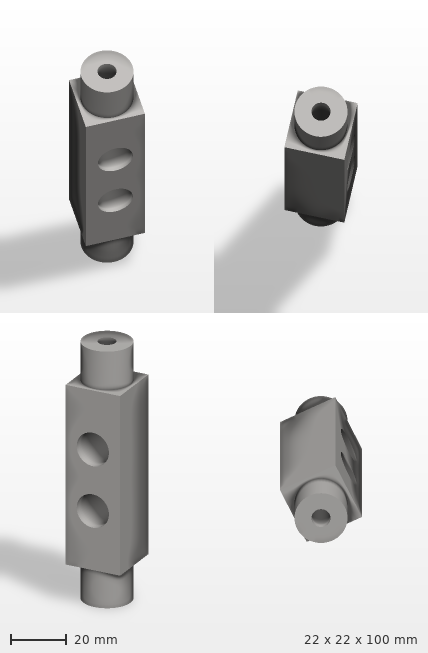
import cadquery as cq
import math

total_length = 100.0
body_width = 22.0
spigot_diameter = 19.0
spigot_length = 15.0

cross_hole_diameter = 13.0
cross_hole_spacing = 24.0

end_hole_diameter = 6.8
end_hole_depth = 20.0
drill_point_angle = 118.0

body_length = total_length - 2 * spigot_length
mid_height = total_length / 2


def drilled_hole():
    """Cutter for the top end hole: a cylinder with a conical drill point."""
    radius = end_hole_diameter / 2
    point_height = radius / math.tan(math.radians(drill_point_angle / 2))
    shoulder = mid_height - end_hole_depth
    return (
        cq.Workplane("XZ")
        .moveTo(0, mid_height)
        .lineTo(radius, mid_height)
        .lineTo(radius, shoulder)
        .lineTo(0, shoulder - point_height)
        .close()
        .revolve(360, (0, 0, 0), (0, 1, 0))
    )


body = cq.Workplane("XY").box(body_width, body_width, body_length)
spigots = cq.Workplane("XY").circle(spigot_diameter / 2).extrude(mid_height, both=True)

cross_holes = (
    cq.Workplane("YZ")
    .pushPoints([(0, -cross_hole_spacing / 2), (0, cross_hole_spacing / 2)])
    .circle(cross_hole_diameter / 2)
    .extrude(body_width, both=True)
)

top_hole = drilled_hole()
bottom_hole = top_hole.mirror("XY")

result = body.union(spigots).cut(cross_holes).cut(top_hole).cut(bottom_hole)